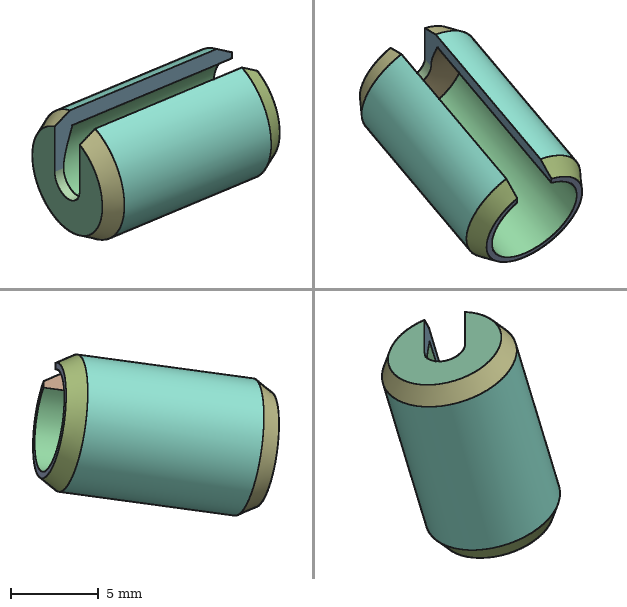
import cadquery as cq
import math

length = 12.7
outer_radius = 7.9375 / 2

chamfer_depth = 0.635
chamfer_angle = 60
chamfer_length = chamfer_depth * math.tan(math.radians(chamfer_angle))
end_radius = outer_radius - chamfer_depth

slot_width = 2.38
hole_radius = slot_width / 2

bore_radius = 2.95
lip_thickness = 0.635
cone_length = 0.635
bore_start = lip_thickness + cone_length


def revolve_about_y(points):
    """Revolve a closed outline of (y, z) points about the Y axis."""
    axis_start = (0, 0)
    axis_end = (1, 0)
    return cq.Workplane("YZ").polyline(points).close().revolve(360, axis_start, axis_end)


def make_body():
    """Solid cylinder with both ends chamfered."""
    return revolve_about_y([
        (0, 0),
        (0, -end_radius),
        (chamfer_length, -outer_radius),
        (length - chamfer_length, -outer_radius),
        (length, -end_radius),
        (length, 0),
    ])


def make_stepped_bore():
    """Small hole through the lip, cone, then the wide bore to the back."""
    return revolve_about_y([
        (0, 0),
        (0, -hole_radius),
        (lip_thickness, -hole_radius),
        (bore_start, -bore_radius),
        (length, -bore_radius),
        (length, 0),
    ])


def make_slot():
    """Full-length slot from the axis up through the top of the pin."""
    return cq.Workplane("XY").box(
        slot_width, length, outer_radius, centered=(True, False, False)
    )


result = make_body().cut(make_stepped_bore()).cut(make_slot())